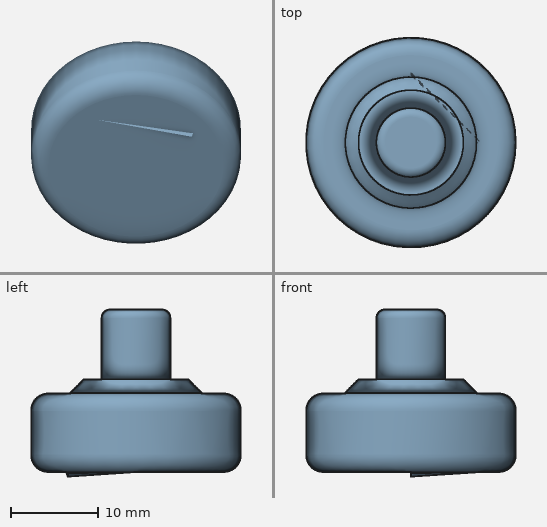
import cadquery as cq

body_diameter = 24.0
body_height = 9.0
body_fillet = 2.0

collar_base_diameter = 15.0
collar_top_diameter = 12.0
collar_height = 1.6
collar_rim_height = 0.1

pin_diameter = 7.9
pin_length = 9.6
pin_fillet = 0.98

sliver_reach = 8.0
sliver_depth = 0.53
sliver_tip_inset = 0.2
sliver_crease_depth = 0.15
sliver_crease_inset = 0.26
sliver_root_thickness = 0.12


def make_body():
    body = cq.Workplane("XY").circle(body_diameter / 2).extrude(body_height)
    return body.edges().fillet(body_fillet)


def make_collar():
    base_radius = collar_base_diameter / 2
    return (
        cq.Workplane("XZ")
        .moveTo(0, body_height)
        .lineTo(base_radius, body_height)
        .lineTo(base_radius, body_height + collar_rim_height)
        .lineTo(collar_top_diameter / 2, body_height + collar_height)
        .lineTo(0, body_height + collar_height)
        .close()
        .revolve(360, (0, 0, 0), (0, 1, 0))
    )


def make_pin():
    pin = cq.Workplane("XY").workplane(offset=body_height).circle(pin_diameter / 2).extrude(pin_length)
    return pin.faces(">Z").edges().fillet(pin_fillet)


def make_sliver():
    """Pyramid from the thick end face to a point, with a crease along its inner side."""
    end_corners = [
        cq.Vector(0, sliver_reach, 0),
        cq.Vector(0, sliver_reach - sliver_tip_inset, -sliver_depth),
        cq.Vector(0, sliver_reach - sliver_crease_inset, -sliver_crease_depth),
        cq.Vector(0, sliver_reach - sliver_root_thickness, 0),
    ]
    point = cq.Vector(sliver_reach, 0, 0)
    outlines = [end_corners]
    for index, corner in enumerate(end_corners):
        outlines.append([end_corners[index - 1], corner, point])
    faces = [cq.Face.makeFromWires(cq.Wire.makePolygon(corners, close=True)) for corners in outlines]
    return cq.Workplane(obj=cq.Solid.makeSolid(cq.Shell.makeShell(faces)))


result = make_body().union(make_collar()).union(make_pin()).union(make_sliver())